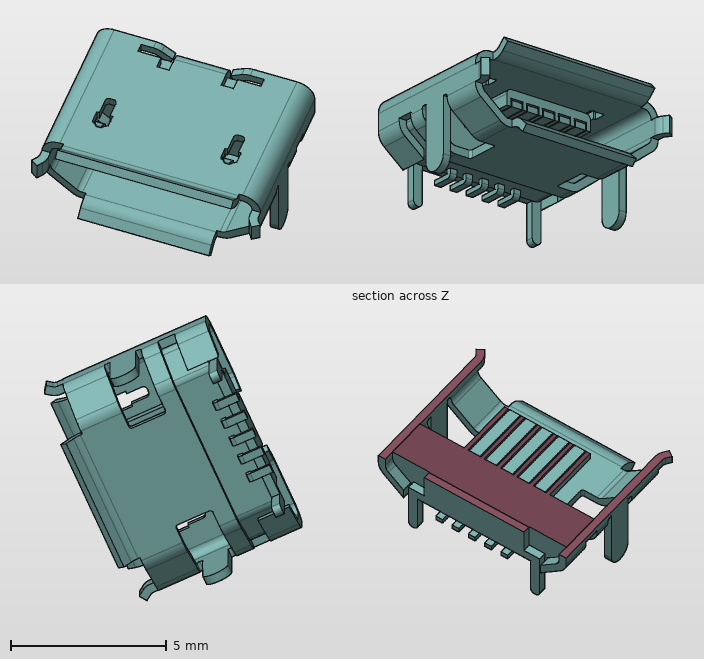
import cadquery as cq
import math

WIDTH = 7.5
HEIGHT = 2.45
DEPTH = 5.05
WALL = 0.29
CORNER_RADIUS = 0.61
SLOPE_ANGLE = math.radians(38)
FLOOR_HALF = 2.57
SLOPE_TOP = (WIDTH / 2 - FLOOR_HALF) * math.tan(SLOPE_ANGLE)
SIDE_FLAT_TOP = HEIGHT - CORNER_RADIUS
SIDE_FLAT_BOTTOM = SLOPE_TOP + CORNER_RADIUS * math.tan((math.pi / 2 - SLOPE_ANGLE) / 2)
FLOOR_ROUND = CORNER_RADIUS * math.tan(SLOPE_ANGLE / 2)
SLOPE_END = FLOOR_HALF + FLOOR_ROUND * math.cos(SLOPE_ANGLE)

TOP_LIP_WIDTH = 6.04
BOTTOM_LIP_WIDTH = 4.5
LIP_LEAD = 0.06
LIP_RADIUS = 0.35
LIP_ANGLE = 43
LIP_RUN = 0.35
EAR_LEAD = 0.195
EAR_RADIUS = 0.22
EAR_ANGLE = 35
EAR_RUN = 0.23

LEG_BOTTOM = -1.2
SIDE_LEG_Y = 2.12
SIDE_LEG_WIDTH = 0.9
LEG_GAP = 0.195
LEG_OPENING_TOP = SIDE_FLAT_BOTTOM + 0.09
LEG_OPENING_END = 1.765
LEG_OPENING_ROUND = 0.095

NOTCH_FRONT = 3.36
NOTCH_REAR = 3.96

NECK_HALF = 0.89
BEND_RADIUS = 0.1
PLATE_REAR = 4.95
PLATE_FRONT = PLATE_REAR - WALL
PLATE_TOP = 1.57
PLATE_TOP_HALF = 1.99
SHOULDER_Z = 0.63
REAR_LEG_INNER = 2.25
REAR_LEG_OUTER = 2.62

OPENING_FRONT = 4.48
OPENING_HALF = 2.11
RELIEF_FRONT = 4.08
RELIEF_HALF = 1.32
TAB_FRONT = 4.775
TAB_LEFT_LEAD = 0.415
TAB_RIGHT_LEAD = 0.48
TAB_RADIUS = 0.29
TAB_ANGLE = 30
TAB_RUN = 0.45

KEYHOLE_X = 2.2
KEYHOLE_REAR = 2.305
KEYHOLE_STEP = 1.64
KEYHOLE_FRONT = 1.175
KEYHOLE_NARROW = 0.37
KEYHOLE_WIDE = 0.55
KEYHOLE_CHAMFER = 0.06
KEYHOLE_ROUND = 0.125
BUMP_LENGTH = 0.12
BUMP_HEIGHT = 0.1
BUMP_REAR_WIDTH = 0.38
BUMP_FRONT_WIDTH = 0.17

BASE_FRONT = 3.135
TONGUE_FRONT = 0.94
TONGUE_WIDTH = 3.43
TONGUE_BOTTOM = 1.27
TONGUE_TOP = 1.87
TONGUE_ROUND = 0.195
CONTACT_COUNT = 5
CONTACT_PITCH = 0.65
GROOVE_WIDTH = 0.5
GROOVE_HEIGHT = 0.29
CONTACT_WIDTH = 0.42
CONTACT_HEIGHT = 0.23
TAIL_WIDTH = 0.27
TAIL_THICKNESS = 0.17
TAIL_BOTTOM = -0.04
TAIL_FRONT = 4.24
TAIL_REAR = 5.07
TAIL_ROUND = 0.16


def box(x0, x1, y0, y1, z0, z1):
    """Block between opposite corners."""
    return cq.Workplane("XY").box(x1 - x0, y1 - y0, z1 - z0, centered=False).translate((x0, y0, z0))


def mirrored(body):
    """The body together with its mirror image across the middle plane X = 0."""
    return body.union(body.mirror("YZ"))


def profile_block(inset, front, rear):
    """Solid with the shell's cross-section, shrunk by inset, between two Y positions."""
    outline = [
        (-WIDTH / 2, HEIGHT),
        (WIDTH / 2, HEIGHT),
        (WIDTH / 2, SLOPE_TOP),
        (FLOOR_HALF, 0),
        (-FLOOR_HALF, 0),
        (-WIDTH / 2, SLOPE_TOP),
    ]
    block = cq.Workplane("XZ", origin=(0, front, 0)).polyline(outline).close().extrude(front - rear)
    block = block.edges("|Y").fillet(CORNER_RADIUS)
    if inset:
        block = block.faces("<Y").wires().toPending().workplane().offset2D(-inset).extrude(front - rear, combine=False)
    return block


def bent_strip(origin, forward, toward, lead, radius, angle, run, width):
    """Strip of wall thickness: straight lead, bend toward a side, straight run.

    The origin lies on the inside of the bend, at the middle of the strip's width.
    """
    turn = math.radians(angle)

    def bend_point(bend_radius, at):
        return (lead + bend_radius * math.sin(at), radius - bend_radius * math.cos(at))

    def run_end(start):
        return (start[0] + run * math.cos(turn), start[1] + run * math.sin(turn))

    outer = radius + WALL
    inner_end = bend_point(radius, turn)
    outer_end = bend_point(outer, turn)
    normal = cq.Vector(*forward).cross(cq.Vector(*toward))
    return (
        cq.Workplane(cq.Plane(origin, forward, normal.toTuple()))
        .moveTo(0, 0)
        .lineTo(lead, 0)
        .threePointArc(bend_point(radius, turn / 2), inner_end)
        .lineTo(*run_end(inner_end))
        .lineTo(*run_end(outer_end))
        .lineTo(*outer_end)
        .threePointArc(bend_point(outer, turn / 2), (lead, -WALL))
        .lineTo(0, -WALL)
        .close()
        .extrude(width / 2, both=True)
    )


def lips():
    """Flared lips along the top and bottom of the mouth."""
    bend = (LIP_LEAD, LIP_RADIUS, LIP_ANGLE, LIP_RUN)
    top = bent_strip((0, 0, HEIGHT), (0, -1, 0), (0, 0, 1), *bend, TOP_LIP_WIDTH)
    bottom = bent_strip((0, 0, 0), (0, -1, 0), (0, 0, -1), *bend, BOTTOM_LIP_WIDTH)
    return top.union(bottom)


def ears():
    """Flared ears on the flat of both side walls."""
    middle = (SIDE_FLAT_TOP + SIDE_FLAT_BOTTOM) / 2
    height = SIDE_FLAT_TOP - SIDE_FLAT_BOTTOM
    bend = (EAR_LEAD, EAR_RADIUS, EAR_ANGLE, EAR_RUN)
    return mirrored(bent_strip((WIDTH / 2, 0, middle), (0, -1, 0), (1, 0, 0), *bend, height))


def side_leg_openings():
    """Cut-outs through side wall, slope and floor that the side legs leave behind."""
    half = SIDE_LEG_WIDTH / 2 + LEG_GAP
    opening = box(LEG_OPENING_END, WIDTH / 2, SIDE_LEG_Y - half, SIDE_LEG_Y + half, 0, LEG_OPENING_TOP)
    return mirrored(opening.edges("|Z and <X").fillet(LEG_OPENING_ROUND).edges("|X and >Z").fillet(LEG_OPENING_ROUND))


def side_legs():
    """Round-ended legs hanging down in the planes of the side walls."""
    half = SIDE_LEG_WIDTH / 2
    leg = (
        cq.Workplane("YZ", origin=(WIDTH / 2 - WALL, 0, 0))
        .moveTo(SIDE_LEG_Y - half, LEG_OPENING_TOP)
        .lineTo(SIDE_LEG_Y - half, LEG_BOTTOM + half)
        .threePointArc((SIDE_LEG_Y, LEG_BOTTOM), (SIDE_LEG_Y + half, LEG_BOTTOM + half))
        .lineTo(SIDE_LEG_Y + half, LEG_OPENING_TOP)
        .close()
        .extrude(WALL)
    )
    return mirrored(leg)


def rear_openings():
    """Side notches, the missing rear floor, and the roof opening around the neck."""
    notch = box(SLOPE_END, WIDTH / 2, NOTCH_FRONT, NOTCH_REAR, 0, LEG_OPENING_TOP)
    floor = box(-SLOPE_END, SLOPE_END, NOTCH_FRONT, DEPTH, 0, SHOULDER_Z)
    roof_z = HEIGHT - WALL
    opening = box(-OPENING_HALF, OPENING_HALF, OPENING_FRONT, DEPTH, roof_z, HEIGHT)
    relief = box(-RELIEF_HALF, RELIEF_HALF, RELIEF_FRONT, OPENING_FRONT, roof_z, HEIGHT)
    return mirrored(notch).union(floor).union(opening).union(relief)


def rear_plate():
    """Neck bent down from the roof, widening into a plate with a leg at each lower corner."""
    lead = PLATE_FRONT - BEND_RADIUS - RELIEF_FRONT
    run = HEIGHT - WALL - BEND_RADIUS - WALL
    roof = (0, RELIEF_FRONT, HEIGHT - WALL)
    neck = bent_strip(roof, (0, 1, 0), (0, 0, -1), lead, BEND_RADIUS, 90, run, 2 * NECK_HALF)
    upper = box(-PLATE_TOP_HALF, PLATE_TOP_HALF, PLATE_FRONT, PLATE_REAR, WALL, PLATE_TOP)
    lower = box(-REAR_LEG_OUTER, REAR_LEG_OUTER, PLATE_FRONT, PLATE_REAR, WALL, SHOULDER_Z)
    radius = (REAR_LEG_OUTER - REAR_LEG_INNER) / 2
    leg = (
        cq.Workplane("XZ", origin=(0, PLATE_REAR, 0))
        .moveTo(REAR_LEG_INNER, WALL)
        .lineTo(REAR_LEG_INNER, LEG_BOTTOM + radius)
        .threePointArc((REAR_LEG_INNER + radius, LEG_BOTTOM), (REAR_LEG_OUTER, LEG_BOTTOM + radius))
        .lineTo(REAR_LEG_OUTER, WALL)
        .close()
        .extrude(WALL)
    )
    return neck.union(upper).union(lower).union(mirrored(leg))


def roof_tabs():
    """Tabs reaching from both ends of the roof opening and dipping toward the neck."""
    bend = (TAB_RADIUS, TAB_ANGLE, TAB_RUN, DEPTH - TAB_FRONT)
    middle = (TAB_FRONT + DEPTH) / 2
    left = bent_strip((-OPENING_HALF, middle, HEIGHT - WALL), (1, 0, 0), (0, 0, -1), TAB_LEFT_LEAD, *bend)
    right = bent_strip((OPENING_HALF, middle, HEIGHT - WALL), (-1, 0, 0), (0, 0, -1), TAB_RIGHT_LEAD, *bend)
    return left.union(right)


def keyholes():
    """Stepped slots through the roof."""
    roof_z = HEIGHT - WALL
    x0 = KEYHOLE_X - KEYHOLE_NARROW / 2
    narrow = box(x0, x0 + KEYHOLE_NARROW, KEYHOLE_STEP, KEYHOLE_REAR, roof_z, HEIGHT)
    narrow = narrow.edges("|Z and >Y").fillet(KEYHOLE_ROUND)
    x0 = KEYHOLE_X - KEYHOLE_WIDE / 2
    wide = box(x0, x0 + KEYHOLE_WIDE, KEYHOLE_FRONT, KEYHOLE_STEP, roof_z, HEIGHT)
    wide = wide.edges("|Z and <Y").chamfer(KEYHOLE_CHAMFER)
    return mirrored(narrow.union(wide))


def bumps():
    """Small raised bumps at the front end of the keyholes, tapering forward."""
    front = KEYHOLE_FRONT - BUMP_LENGTH
    bump = (
        cq.Workplane("XY", origin=(KEYHOLE_X, 0, HEIGHT))
        .moveTo(-BUMP_REAR_WIDTH / 2, KEYHOLE_FRONT)
        .lineTo(BUMP_REAR_WIDTH / 2, KEYHOLE_FRONT)
        .lineTo(BUMP_FRONT_WIDTH / 2, front)
        .lineTo(-BUMP_FRONT_WIDTH / 2, front)
        .close()
        .extrude(BUMP_HEIGHT)
        .edges(">Z and <Y")
        .fillet(BUMP_HEIGHT * 0.8)
    )
    return mirrored(bump)


def make_shell():
    """Sheet-metal shell with its lips, ears, legs, rear plate, tabs and bumps."""
    tube = profile_block(0, 0, DEPTH).cut(profile_block(WALL, 0, DEPTH))
    tube = tube.cut(side_leg_openings()).cut(rear_openings()).cut(keyholes())
    for feature in (lips(), ears(), side_legs(), rear_plate(), roof_tabs(), bumps()):
        tube = tube.union(feature)
    return tube


def groove(x):
    """Channel along the underside of the tongue."""
    half = GROOVE_WIDTH / 2
    return box(x - half, x + half, TONGUE_FRONT, BASE_FRONT, TONGUE_BOTTOM, TONGUE_BOTTOM + GROOVE_HEIGHT)


def contact(x):
    """Contact beam lying in its groove, held at the base."""
    half = CONTACT_WIDTH / 2
    return box(x - half, x + half, TONGUE_FRONT, BASE_FRONT, TONGUE_BOTTOM, TONGUE_BOTTOM + CONTACT_HEIGHT)


def tail(x):
    """Solder tail: drops out of the base and turns to the rear."""
    half = TAIL_WIDTH / 2
    riser = box(x - half, x + half, TAIL_FRONT, TAIL_FRONT + TAIL_THICKNESS, TAIL_BOTTOM, WALL)
    foot = box(x - half, x + half, TAIL_FRONT, TAIL_REAR, TAIL_BOTTOM, TAIL_BOTTOM + TAIL_THICKNESS)
    return riser.union(foot).edges("|X and <Y and <Z").fillet(TAIL_ROUND)


def make_insulator():
    """Insulator base filling the rear of the shell, with its tongue, contacts and tails."""
    body = profile_block(WALL, BASE_FRONT, PLATE_FRONT)
    half = TONGUE_WIDTH / 2
    tongue = box(-half, half, TONGUE_FRONT, BASE_FRONT, TONGUE_BOTTOM, TONGUE_TOP)
    body = body.union(tongue.edges("|Y and >Z").fillet(TONGUE_ROUND))
    for index in range(CONTACT_COUNT):
        x = (index - (CONTACT_COUNT - 1) / 2) * CONTACT_PITCH
        body = body.cut(groove(x)).union(contact(x)).union(tail(x))
    return body


shell = make_shell()
insulator = make_insulator()
result = cq.Compound.makeCompound([shell.val(), insulator.val()])